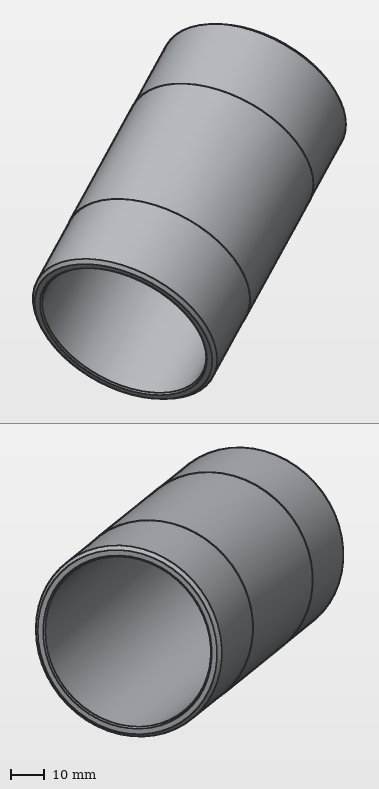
import cadquery as cq

length = 100.0
end_diameter = 59.6
band_diameter = 59.8
bore_diameter = 53.0

band_length = 48.0

outer_chamfer = 1.1
bore_chamfer = 0.5


def cylinder_along_y(diameter, height):
    """Solid cylinder centred on the origin with its axis along Y."""
    return cq.Workplane("XZ", origin=(0, height / 2, 0)).circle(diameter / 2).extrude(height)


body = cylinder_along_y(end_diameter, length)
body = body.faces("<Y or >Y").chamfer(outer_chamfer)

body = body.union(cylinder_along_y(band_diameter, band_length))

body = body.cut(cylinder_along_y(bore_diameter, length))
bore_rims = body.faces("<Y or >Y").edges(cq.selectors.RadiusNthSelector(0))
result = bore_rims.chamfer(bore_chamfer)